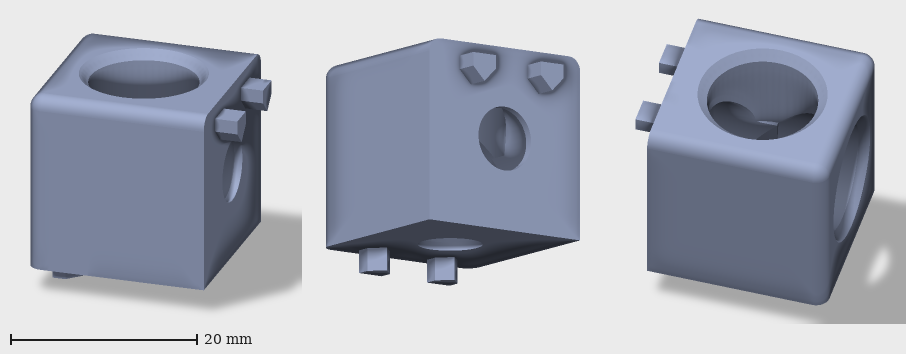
import cadquery as cq

cube_side = 20.0
half_side = cube_side / 2
edge_radius = 1.5

mouth_diameter = 14.0
bore_diameter = 12.0
seat_diameter = 11.0
outlet_diameter = 7.0
mouth_depth = (mouth_diameter - bore_diameter) / 2
bore_depth = half_side
seat_depth = 17.1
taper_depth = seat_depth + (seat_diameter - outlet_diameter) / 2

overall_length = 22.5
tab_height = overall_length - cube_side
tab_size = 3.0
tab_spacing = 9.0
tab_inset = 1.6


def make_body():
    """Cube with its -X and +Z faces blended into the sides and each other."""
    body = cq.Workplane("XY").box(cube_side, cube_side, cube_side)
    upper_edges = body.edges(">Z").edges("not >X")
    left_uprights = body.edges("|Z and <X")
    return body.newObject(upper_edges.vals() + left_uprights.vals()).fillet(edge_radius)


def make_upright_bore():
    """Stepped bore cutter along Z, with its mouth on the +Z face."""
    profile = [
        (0, half_side),
        (mouth_diameter / 2, half_side),
        (bore_diameter / 2, half_side - mouth_depth),
        (bore_diameter / 2, half_side - bore_depth),
        (seat_diameter / 2, half_side - bore_depth),
        (seat_diameter / 2, half_side - seat_depth),
        (outlet_diameter / 2, half_side - taper_depth),
        (outlet_diameter / 2, -half_side),
        (0, -half_side),
    ]
    return cq.Workplane("XZ").polyline(profile).close().revolve(360, (0, 0, 0), (0, 1, 0))


def make_bottom_tabs():
    """Pair of five-sided tabs below the -Z face, each pointing toward +X."""
    tab_start = -half_side + tab_inset
    shoulder = tab_start + tab_size / 2
    tip = tab_start + tab_size
    half_width = tab_size / 2
    outline = [
        (tab_start, -half_width),
        (shoulder, -half_width),
        (tip, 0),
        (shoulder, half_width),
        (tab_start, half_width),
    ]
    tab = cq.Workplane("XY", origin=(0, 0, -half_side)).polyline(outline).close().extrude(-tab_height)
    pair = tab.translate((0, -tab_spacing / 2, 0))
    return pair.union(tab.translate((0, tab_spacing / 2, 0)))


def turn_to_side(shape):
    """Reflect across the plane z = -x, carrying +Z to -X and -Z to +X."""
    return shape.rotate((0, 0, 0), (0, 1, 0), -90).mirror("XY")


upright_bore = make_upright_bore()
bottom_tabs = make_bottom_tabs()

result = make_body()
for bore in (upright_bore, turn_to_side(upright_bore)):
    result = result.cut(bore)
for tabs in (bottom_tabs, turn_to_side(bottom_tabs)):
    result = result.union(tabs)